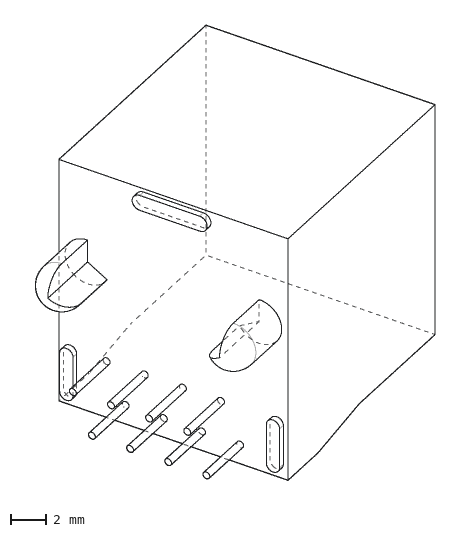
import cadquery as cq
import math


width = 15.26
depth = 15.9
height = 16.56
foot_depth = 3.25
foot_drop = 0.79
ramp_angle = 10.0
ramp_length = foot_drop / math.tan(math.radians(ramp_angle))

pins_per_row = 4
pin_pitch = 2.54
pin_stagger = pin_pitch / 2
pin_diameter = 0.46
pin_length = 3.65
lower_row_z = 1.32
upper_row_z = lower_row_z + pin_pitch

post_radius = 1.5
post_length = 4.29
post_spacing = 11.43
post_rise = 6.35
post_z = upper_row_z + post_rise
post_sweep = 240.0

pad_height = 0.4
side_pad_width = 0.88
side_pad_length = 3.56
side_pad_edge_gap = 0.31
side_pad_bottom_gap = 0.54
side_pad_x = width / 2 - side_pad_edge_gap - side_pad_width / 2
side_pad_z = side_pad_bottom_gap + side_pad_length / 2
top_pad_width = 1.02
top_pad_length = 5.0
top_pad_edge_gap = 0.23
top_pad_z = height - top_pad_edge_gap - top_pad_width / 2


def mounting_face(x, z):
    """Sketch plane on the mounting face; local axes are X and Z, extrusion goes toward -Y."""
    return cq.Workplane("XZ", origin=(x, 0, z))


def make_housing():
    outline = [
        (0, 0),
        (foot_depth, 0),
        (foot_depth + ramp_length, foot_drop),
        (depth, foot_drop),
        (depth, height),
        (0, height),
    ]
    return cq.Workplane("YZ").polyline(outline).close().extrude(width / 2, both=True)


def make_pin_row(center_x, z):
    pins = mounting_face(center_x, z).rarray(pin_pitch, 1, pins_per_row, 1)
    return pins.circle(pin_diameter / 2).extrude(pin_length)


def make_left_post():
    """Post on the -X side, swept around its axis from straight up, over -X, to the sector floor."""
    dome_start = post_length - post_radius
    dome_middle = post_radius * math.sqrt(0.5)
    profile = (
        cq.Workplane("YZ", origin=(-post_spacing / 2, 0, post_z))
        .lineTo(0, post_radius)
        .lineTo(-dome_start, post_radius)
        .threePointArc((-dome_start - dome_middle, dome_middle), (-post_length, 0))
        .close()
    )
    return profile.revolve(post_sweep, (0, 0), (-1, 0))


def make_pad(x, z, length, pad_width, angle):
    return mounting_face(x, z).slot2D(length, pad_width, angle).extrude(pad_height)


result = make_housing()
result = result.union(make_pin_row(-pin_stagger / 2, upper_row_z))
result = result.union(make_pin_row(pin_stagger / 2, lower_row_z))
result = result.union(make_pad(0, top_pad_z, top_pad_length, top_pad_width, 0))
result = result.union(make_left_post())
result = result.union(make_left_post().mirror("YZ"))
for side in (-1, 1):
    result = result.union(make_pad(side * side_pad_x, side_pad_z, side_pad_length, side_pad_width, 90))